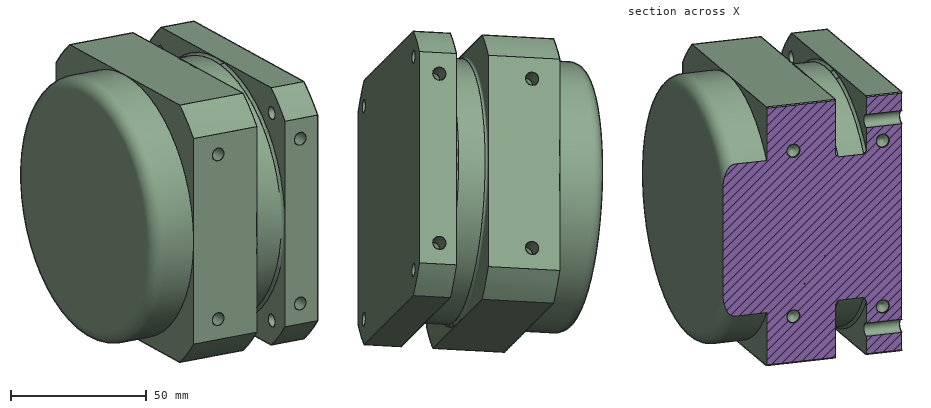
import cadquery as cq
import math

width = 100.0
length = 70.2
corner_diameter = 128.0
back_plate_thickness = 14.0
gap_width = 12.0
body_plate_thickness = 27.0
neck_diameter = 98.0
neck_fillet = 1.0
cap_edge_radius = 5.0

side_hole_diameter = 4.9
side_hole_depth = 10.0
side_hole_spacing = 64.0
drill_point_angle = 118.0
back_side_hole_inset = 7.5
body_side_hole_inset = 42.5

corner_hole_diameter = 4.9
corner_hole_circle = 114.0

back_y = length / 2
front_y = -length / 2
gap_back_y = back_y - back_plate_thickness
gap_front_y = gap_back_y - gap_width
cap_back_y = gap_front_y - body_plate_thickness


def cylinder(diameter, start_y, thickness):
    """Disc on the Y axis, running toward -Y from start_y."""
    plane = cq.Workplane("XZ", origin=(0, start_y, 0))
    return plane.circle(diameter / 2).extrude(thickness)


def square_plate(start_y, thickness):
    """Square plate whose corners are rounded off by a larger circle."""
    plane = cq.Workplane("XZ", origin=(0, start_y, 0))
    square = plane.rect(width, width).extrude(thickness)
    return square.intersect(cylinder(corner_diameter, start_y, thickness))


def neck():
    """Round neck in the gap, blending into both plates with concave fillets."""
    neck_radius = neck_diameter / 2
    flare_radius = neck_radius + neck_fillet
    arc_offset = neck_fillet * math.sqrt(0.5)
    arc_x = flare_radius - arc_offset
    back_tangent_y = gap_back_y - neck_fillet
    front_tangent_y = gap_front_y + neck_fillet
    return (
        cq.Workplane("XY")
        .moveTo(0, gap_back_y)
        .lineTo(flare_radius, gap_back_y)
        .threePointArc((arc_x, back_tangent_y + arc_offset), (neck_radius, back_tangent_y))
        .lineTo(neck_radius, front_tangent_y)
        .threePointArc((arc_x, front_tangent_y - arc_offset), (flare_radius, gap_front_y))
        .lineTo(0, gap_front_y)
        .close()
        .revolve(360, (0, 0, 0), (0, 1, 0))
    )


def front_cap():
    cap = cylinder(width, cap_back_y, cap_back_y - front_y)
    return cap.faces("<Y").edges().fillet(cap_edge_radius)


def side_hole(side, y, z):
    """Drilled hole with a conical bottom; side is -1 for -X and +1 for +X."""
    radius = side_hole_diameter / 2
    point_length = radius / math.tan(math.radians(drill_point_angle / 2))
    face_x = side * width / 2
    floor_x = face_x - side * side_hole_depth
    tip_x = floor_x - side * point_length
    return (
        cq.Workplane("XY", origin=(0, y, z))
        .moveTo(face_x, 0)
        .lineTo(face_x, radius)
        .lineTo(floor_x, radius)
        .lineTo(tip_x, 0)
        .close()
        .revolve(360, (0, 0, 0), (1, 0, 0))
    )


def corner_holes():
    return (
        cq.Workplane("XZ", origin=(0, back_y, 0))
        .polarArray(corner_hole_circle / 2, 45, 360, 4)
        .circle(corner_hole_diameter / 2)
        .extrude(back_plate_thickness)
    )


back_plate = square_plate(back_y, back_plate_thickness).cut(corner_holes())
body_plate = square_plate(gap_front_y, body_plate_thickness)
result = back_plate.union(neck()).union(body_plate).union(front_cap())

for side in (-1, 1):
    for inset in (back_side_hole_inset, body_side_hole_inset):
        for z in (-side_hole_spacing / 2, side_hole_spacing / 2):
            result = result.cut(side_hole(side, back_y - inset, z))